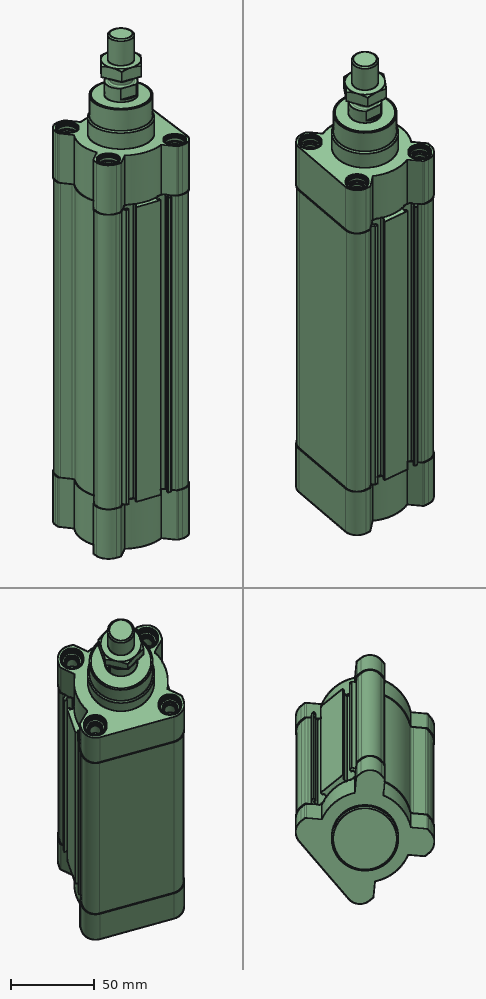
import cadquery as cq
import math

cap_side = 64.0
cap_half = cap_side / 2
profile_half = 31.5
cap_barrel_radius = 28.0
profile_barrel_radius = 27.7
cap_corner_radius = 8.8
profile_corner_radius = 8.0
belly_half_width = 13.0
cap_edge_fillet = 1.5
profile_edge_fillet = 2.5
flank_root_fillet = 2.5

overall_height = 337.8
spigot_height = 4.0
cap_height = 33.5
cap_top = 270.2
step_top = 282.0
neck_top = 296.5
shoulder_z = 305.7
thread_start = 309.5
nut_bottom = 312.0
nut_height = 8.0

spigot_diameter = 40.0
neck_diameter = 38.0
edge_chamfer = 1.0
neck_rim_drop = 0.5

rail_face = 31.0
groove_inner = 8.5
groove_outer = 14.0
cavity_top = 29.5
cavity_inner = 7.5
cavity_outer = 15.2
groove_floor = 25.7
lip_outer = 15.5
lip_root = 18.0

hole_offset = 23.3
hole_steps = [(14.0, 0.7), (13.2, 1.5), (12.0, 2.0), (11.5, 4.0), (8.8, 5.5), (8.0, 7.5), (6.8, 17.0)]
drill_tip_angle = 118.0

rod_diameter = 20.0
rod_flats = 17.0
flats_bottom = 298.3
thread_diameter = 16.0
relief_diameter = 14.0
relief_fillet = 1.0
thread_chamfer = 0.7
nut_sides = 6
nut_flats = 24.0
nut_chamfer_angle = 30.0

rear_cap_top = spigot_height + cap_height
front_cap_bottom = cap_top - cap_height


def disc(diameter, bottom, top):
    """Plain cylinder on the main axis."""
    return cq.Workplane("XY").workplane(offset=bottom).circle(diameter / 2).extrude(top - bottom)


def belly_end(barrel_radius):
    """Distance from the axis, across the side, where the belly arc meets the flanks."""
    return math.sqrt(barrel_radius**2 - belly_half_width**2)


def mouth_half_width(half, barrel_radius):
    """Half the gap between two lobes at the outer face; the flanks run at 45 degrees."""
    return belly_half_width + half - belly_end(barrel_radius)


def flank_cutter(half, barrel_radius, bottom, top, root_fillet):
    """Space between two lobes on the -Y side, down to the round belly."""
    end = belly_end(barrel_radius)
    mouth = mouth_half_width(half, barrel_radius)
    cutter = (
        cq.Workplane("XY").workplane(offset=bottom)
        .moveTo(-mouth, -half)
        .lineTo(-belly_half_width, -end)
        .threePointArc((0, -barrel_radius), (belly_half_width, -end))
        .lineTo(mouth, -half)
        .close()
        .extrude(top - bottom)
    )
    if root_fillet:
        cutter = cutter.edges("|Z").edges(">Y").fillet(root_fillet)
    return cutter


def lobed_block(half, corner_radius, barrel_radius, edge_fillet, bottom, top, root_fillet=0):
    """Rounded square with a belly on the -Y, -X and +X sides and a plain +Y side."""
    side = 2 * half
    block = (
        cq.Workplane("XY").workplane(offset=bottom)
        .rect(side, side).extrude(top - bottom)
        .edges("|Z").fillet(corner_radius)
    )
    cutter = flank_cutter(half, barrel_radius, bottom, top, root_fillet)
    for angle in (-90, 0, 90):
        block = block.cut(cutter.rotate((0, 0, 0), (0, 0, 1), angle))
    mouth = mouth_half_width(half, barrel_radius)
    middle = (bottom + top) / 2
    for sign in (-1, 1):
        for x, y in [(sign * mouth, -half), (-half, sign * mouth), (half, sign * mouth)]:
            lobe_edge = cq.selectors.NearestToPointSelector((x, y, middle))
            block = block.edges(lobe_edge).fillet(edge_fillet)
    return block


def side_lips(side, bottom, top):
    """Pad on one X side that carries the middle rail and the two lips."""
    slope_drop = lip_root - lip_outer
    return (
        cq.Workplane("XY").workplane(offset=bottom)
        .polyline([
            (0, -lip_root),
            (side * (rail_face - slope_drop), -lip_root),
            (side * rail_face, -lip_outer),
            (side * rail_face, lip_outer),
            (side * (rail_face - slope_drop), lip_root),
            (0, lip_root),
        ])
        .close().extrude(top - bottom)
    )


def groove_cutter(side, flip, bottom, top):
    """T-shaped sensor groove on the X side and Y half given by the two signs."""
    return (
        cq.Workplane("XY").workplane(offset=bottom)
        .polyline([
            (side * x, flip * y) for x, y in [
                (rail_face, groove_inner),
                (cavity_top, groove_inner),
                (cavity_top, cavity_inner),
                (groove_floor, cavity_inner),
                (groove_floor, cavity_outer),
                (cavity_top, cavity_outer),
                (cavity_top, groove_outer),
                (rail_face, groove_outer),
            ]
        ])
        .close().extrude(top - bottom)
    )


def make_tube():
    """Profile tube with two sensor grooves on each X side."""
    bottom, top = rear_cap_top, front_cap_bottom
    tube = lobed_block(
        profile_half, profile_corner_radius, profile_barrel_radius, profile_edge_fillet,
        bottom, top, flank_root_fillet,
    )
    for side in (-1, 1):
        tube = tube.union(side_lips(side, bottom, top))
        for flip in (-1, 1):
            tube = tube.cut(groove_cutter(side, flip, bottom, top))
    return tube


def mounting_hole():
    """Stepped blind hole with a drill tip, as a cutter hanging down from Z = 0."""
    drill_diameter, drill_depth = hole_steps[-1]
    cutter = disc(drill_diameter, -drill_depth, 0)
    for diameter, depth in hole_steps[:-1]:
        cutter = cutter.union(disc(diameter, -depth, 0))
    radius = drill_diameter / 2
    tip_depth = drill_depth + radius / math.tan(math.radians(drill_tip_angle / 2))
    tip = (
        cq.Workplane("XZ").polyline([(0, -drill_depth), (radius, -drill_depth), (0, -tip_depth)]).close()
        .revolve(360, (0, 0), (0, 1))
    )
    return cutter.union(tip)


def make_housing():
    """Tube with both end caps, neck, spigot and mounting holes, bored for the rod."""
    housing = make_tube()
    for bottom in (spigot_height, front_cap_bottom):
        cap = lobed_block(
            cap_half, cap_corner_radius, cap_barrel_radius, cap_edge_fillet,
            bottom, bottom + cap_height,
        )
        housing = housing.union(cap)
    spigot = disc(spigot_diameter, 0, spigot_height).faces("<Z").edges().chamfer(edge_chamfer)
    neck_base = disc(spigot_diameter, cap_top, step_top).faces(">Z").edges().chamfer(edge_chamfer)
    neck = disc(neck_diameter, cap_top, neck_top).faces(">Z").edges().chamfer(neck_rim_drop, edge_chamfer)
    housing = housing.union(spigot).union(neck_base).union(neck)
    for x in (-hole_offset, hole_offset):
        for y in (-hole_offset, hole_offset):
            housing = housing.cut(mounting_hole().translate((x, y, cap_top)))
    return housing.cut(disc(rod_diameter, front_cap_bottom, neck_top))


def make_rod():
    """Piston rod with wrench flats, a thread relief and a threaded end."""
    rod = disc(rod_diameter, front_cap_bottom, shoulder_z)
    flats = (
        cq.Workplane("XY").workplane(offset=flats_bottom)
        .rect(rod_flats, rod_diameter).extrude(shoulder_z - flats_bottom)
    )
    rod = rod.cut(disc(rod_diameter, flats_bottom, shoulder_z).cut(flats))
    relief = disc(relief_diameter, shoulder_z, thread_start)
    reach = relief_diameter / 2 + relief_fillet
    shoulder_edge = cq.selectors.BoxSelector(
        (-reach, -reach, shoulder_z - relief_fillet),
        (reach, reach, shoulder_z + relief_fillet),
        boundingbox=True,
    )
    rod = rod.union(relief).edges(shoulder_edge).fillet(relief_fillet)
    thread = (
        disc(thread_diameter, thread_start, overall_height)
        .faces("<Z").edges().chamfer(thread_chamfer)
        .faces(">Z").edges().chamfer(edge_chamfer)
    )
    return rod.union(thread)


def make_nut():
    """Hexagon nut with chamfered upper corners."""
    half_sector = 180 / nut_sides
    corners = nut_flats / math.cos(math.radians(half_sector))
    nut = (
        cq.Workplane("XY").polygon(nut_sides, corners).extrude(nut_height)
        .rotate((0, 0, 0), (0, 0, 1), half_sector)
    )
    slope = math.tan(math.radians(nut_chamfer_angle))
    base_radius = nut_flats / 2 + nut_height / slope
    cone = (
        cq.Workplane("XZ")
        .polyline([(0, 0), (base_radius, 0), (nut_flats / 2, nut_height), (0, nut_height)])
        .close().revolve(360, (0, 0), (0, 1))
    )
    nut = nut.intersect(cone).translate((0, 0, nut_bottom))
    return nut.cut(disc(thread_diameter, nut_bottom, nut_bottom + nut_height))


housing = make_housing()
rod = make_rod()
nut = make_nut()
result = cq.Compound.makeCompound([housing.val(), rod.val(), nut.val()])